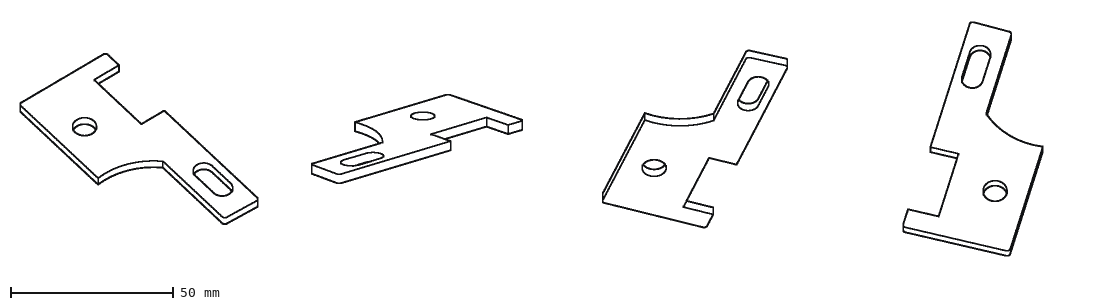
import cadquery as cq
import math

thickness = 3.0
left_height = 34.25
corner_radius = 1.0

notch_left = 6.55
notch_width = 23.45
notch_right = notch_left + notch_width
notch_floor = 24.45

arm_top = 33.5
arm_bottom = 20.05
overall_length = 77.1
end_slant = math.radians(2)
corner_overhang = corner_radius * (1 / math.cos(end_slant) + math.tan(end_slant) - 1)
arm_end_top = overall_length + corner_overhang
arm_end_bottom = arm_end_top - (arm_top - arm_bottom) * math.tan(end_slant)

base_width = 39.3
arm_start = 46.3
concave_radius = 24.0

hole_diameter = 7.4
hole_center = (20.0, 10.0)
slot_length = 15.65
slot_width = 6.55
slot_center = (61.8, 27.45)


def make_plate():
    outline = (
        cq.Workplane("XY")
        .lineTo(base_width, 0)
        .radiusArc((arm_start, arm_bottom), concave_radius)
        .lineTo(arm_end_bottom, arm_bottom)
        .lineTo(arm_end_top, arm_top)
        .lineTo(notch_right, arm_top)
        .lineTo(notch_right, notch_floor)
        .lineTo(notch_left, notch_floor)
        .lineTo(notch_left, left_height)
        .lineTo(0, left_height)
        .close()
    )
    plate = outline.extrude(thickness)
    corner_edges = plate.faces("<X or >X").edges("|Z")
    return corner_edges.fillet(corner_radius)


def cut_hole(plate):
    hole = cq.Workplane("XY").center(*hole_center).circle(hole_diameter / 2)
    return plate.cut(hole.extrude(thickness))


def cut_slot(plate):
    slot = cq.Workplane("XY").center(*slot_center).slot2D(slot_length, slot_width)
    return plate.cut(slot.extrude(thickness))


result = cut_slot(cut_hole(make_plate()))